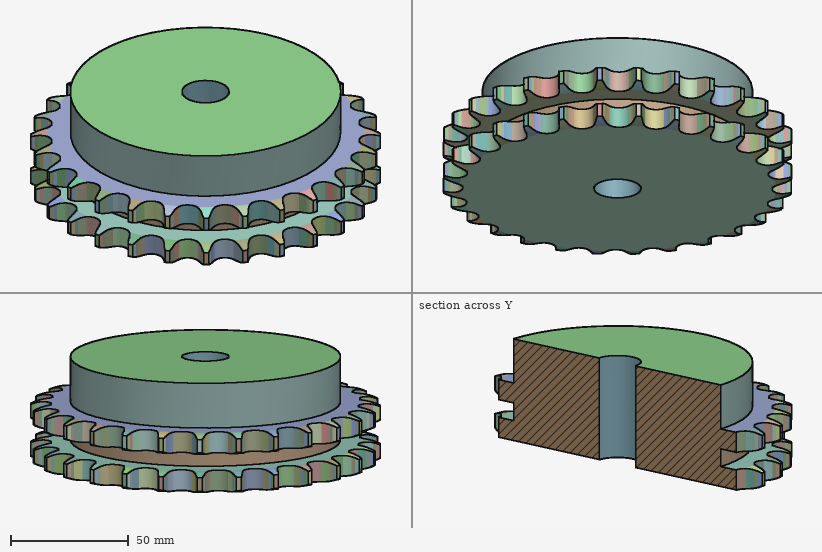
import cadquery as cq
import math


chain_pitch = 15.875
roller_diameter = 10.16
strand_spacing = 16.59

tooth_count = 28
strand_count = 2
tip_diameter = 148.7
tooth_width = 9.0
hub_diameter = 115.0
total_height = 45.0
bore_diameter = 20.0

side_relief_depth = 1.6
side_relief_radius = 16.0

tooth_angle = 360.0 / tooth_count
pitch_radius = chain_pitch / 2 / math.sin(math.pi / tooth_count)
seat_radius = (1.005 * roller_diameter + 0.0762) / 2
seat_end_angle = math.radians(35.0 + 60.0 / tooth_count)
working_radius = 1.3025 * roller_diameter + 0.0381
working_sweep = math.radians(18.0 - 56.0 / tooth_count)
topping_centre_distance = 1.4 * roller_diameter

tip_radius = tip_diameter / 2
gap_overrun = 0.5


def toothless_disc():
    """Disc whose rim is rounded on both sides by arcs tangent to the flat faces."""
    relief_drop = side_relief_radius - side_relief_depth
    relief_length = math.sqrt(side_relief_radius**2 - relief_drop**2)
    flat_radius = tip_radius - relief_length

    half_sweep = math.asin(relief_length / side_relief_radius) / 2
    mid_radius = flat_radius + side_relief_radius * math.sin(half_sweep)
    mid_depth = side_relief_radius * (1 - math.cos(half_sweep))

    return (
        cq.Workplane("XZ")
        .lineTo(flat_radius, 0)
        .threePointArc((mid_radius, mid_depth), (tip_radius, side_relief_depth))
        .lineTo(tip_radius, tooth_width - side_relief_depth)
        .threePointArc((mid_radius, tooth_width - mid_depth), (flat_radius, tooth_width))
        .lineTo(0, tooth_width)
        .close()
        .revolve(360, (0, 0), (0, 1))
    )


def point_below_level(centre, radius, angle):
    """Point on a circle at an angle below the +X direction from its centre."""
    return (centre[0] + radius * math.cos(angle), centre[1] - radius * math.sin(angle))


def mirrored(point):
    return (-point[0], point[1])


def tooth_gap():
    """Cutter for the gap on the +Y axis.

    From the root outwards each side is a roller seat arc, a concave working arc,
    a short straight and a convex topping arc, each tangent to the next.
    """
    roller_centre = (0, pitch_radius)
    root = (0, pitch_radius - seat_radius)
    seat_end = point_below_level(roller_centre, seat_radius, seat_end_angle)

    working_centre = point_below_level(seat_end, -working_radius, seat_end_angle)
    working_end_angle = seat_end_angle - working_sweep
    working_mid = point_below_level(working_centre, working_radius, seat_end_angle - working_sweep / 2)
    working_end = point_below_level(working_centre, working_radius, working_end_angle)

    topping_centre = point_below_level(roller_centre, topping_centre_distance, math.pi / tooth_count)
    centre_dx = topping_centre[0] - working_end[0]
    centre_dy = topping_centre[1] - working_end[1]
    topping_radius = centre_dx * math.cos(working_end_angle) - centre_dy * math.sin(working_end_angle)
    topping_start = point_below_level(topping_centre, -topping_radius, working_end_angle)

    def topping_point(y):
        reach = math.sqrt(topping_radius**2 - (y - topping_centre[1]) ** 2)
        return (topping_centre[0] - reach, y)

    top_y = tip_radius + gap_overrun
    topping_mid = topping_point((topping_start[1] + top_y) / 2)
    topping_end = topping_point(top_y)

    return (
        cq.Workplane("XY")
        .moveTo(*mirrored(topping_end))
        .threePointArc(mirrored(topping_mid), mirrored(topping_start))
        .lineTo(*mirrored(working_end))
        .threePointArc(mirrored(working_mid), mirrored(seat_end))
        .threePointArc(root, seat_end)
        .threePointArc(working_mid, working_end)
        .lineTo(*topping_start)
        .threePointArc(topping_mid, topping_end)
        .close()
        .extrude(tooth_width)
    )


def toothed_disc():
    """One strand's disc, with a gap centred on the +Y axis and on every tooth angle from it."""
    disc = toothless_disc()
    gap = tooth_gap()
    for index in range(tooth_count):
        disc = disc.cut(gap.rotate((0, 0, 0), (0, 0, 1), index * tooth_angle))
    return disc


sprocket = cq.Workplane("XY").circle(hub_diameter / 2).extrude(total_height)
strand_disc = toothed_disc()
for strand in range(strand_count):
    sprocket = sprocket.union(strand_disc.translate((0, 0, strand * strand_spacing)))

bore = cq.Workplane("XY").circle(bore_diameter / 2).extrude(total_height)
result = sprocket.cut(bore)